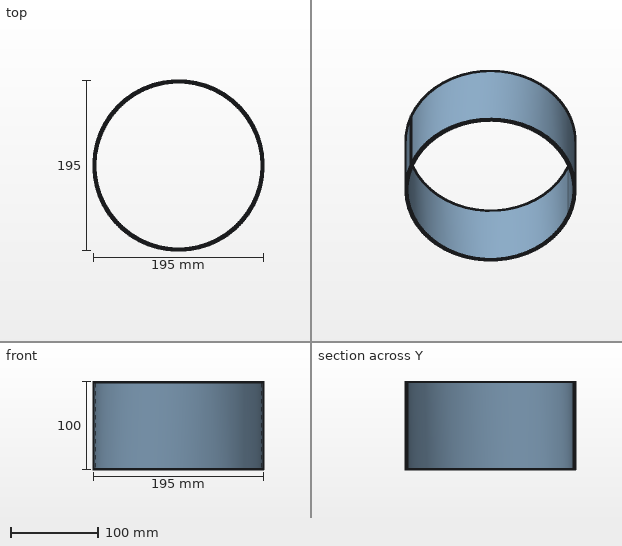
import cadquery as cq

outer_diameter = 195.0
wall = 2.3
height = 100.0
rim_chamfer = 0.49
slit_width = 1.8

outer_radius = outer_diameter / 2

outer_body = cq.Workplane("XY").circle(outer_radius).extrude(height)
outer_body = outer_body.faces("<Z or >Z").edges().chamfer(rim_chamfer)
bore = cq.Workplane("XY").circle(outer_radius - wall).extrude(height)
sleeve = outer_body.cut(bore)

slit_depth = 2 * wall
slit = (
    cq.Workplane("XY")
    .center(-outer_radius, 0)
    .rect(slit_depth, slit_width, centered=(False, False))
    .extrude(height)
)

result = sleeve.cut(slit)